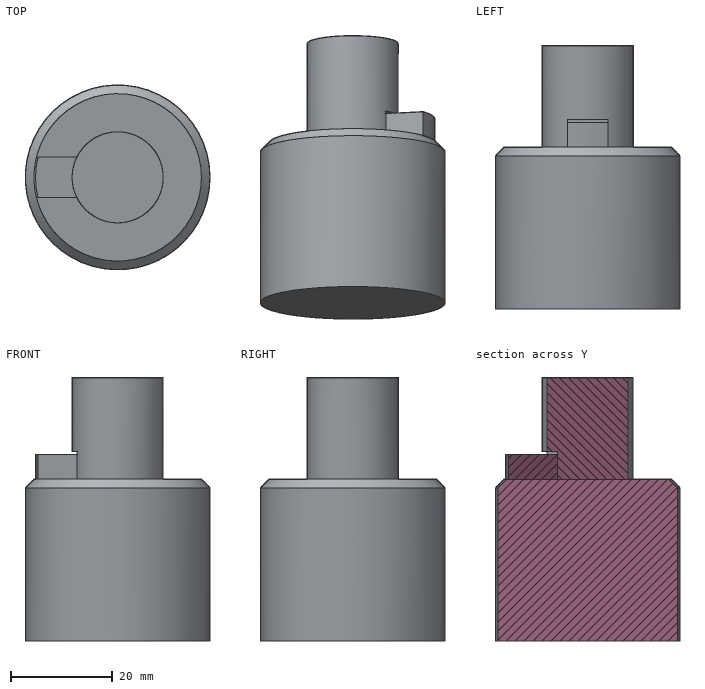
import cadquery as cq

total_height = 52
housing_diameter = 36.5
housing_height = 32.0
housing_chamfer = 1.7

pin_diameter = 18.0
pin_height = total_height - housing_height

key_width = 8.0
key_height = 4.9
key_outer_radius = 16.2
key_inner_reach = 6.0
slot_clearance = 0.5
slot_height = key_height + slot_clearance


def radial_bar(outer_reach, height):
    """Bar of key width on the housing top, from the key's inner end toward -X."""
    length = outer_reach - key_inner_reach
    return (
        cq.Workplane("XY", origin=(-key_inner_reach - length / 2, 0, housing_height))
        .rect(length, key_width)
        .extrude(height)
    )


def make_housing():
    """Solid cylinder with a chamfered top edge."""
    return (
        cq.Workplane("XY")
        .circle(housing_diameter / 2)
        .extrude(housing_height)
        .faces(">Z")
        .edges()
        .chamfer(housing_chamfer)
    )


def make_pin():
    """Cylinder with a blind key slot at its foot."""
    pin = (
        cq.Workplane("XY", origin=(0, 0, housing_height))
        .circle(pin_diameter / 2)
        .extrude(pin_height)
    )
    return pin.cut(radial_bar(key_outer_radius, slot_height))


def make_key():
    """Straight-sided bar whose outer end is rounded about the pin axis."""
    outer_limit = (
        cq.Workplane("XY", origin=(0, 0, housing_height))
        .circle(key_outer_radius)
        .extrude(key_height)
    )
    return radial_bar(housing_diameter / 2, key_height).intersect(outer_limit)


housing = make_housing()
pin = make_pin()
key = make_key()

result = cq.Compound.makeCompound([housing.val(), pin.val(), key.val()])